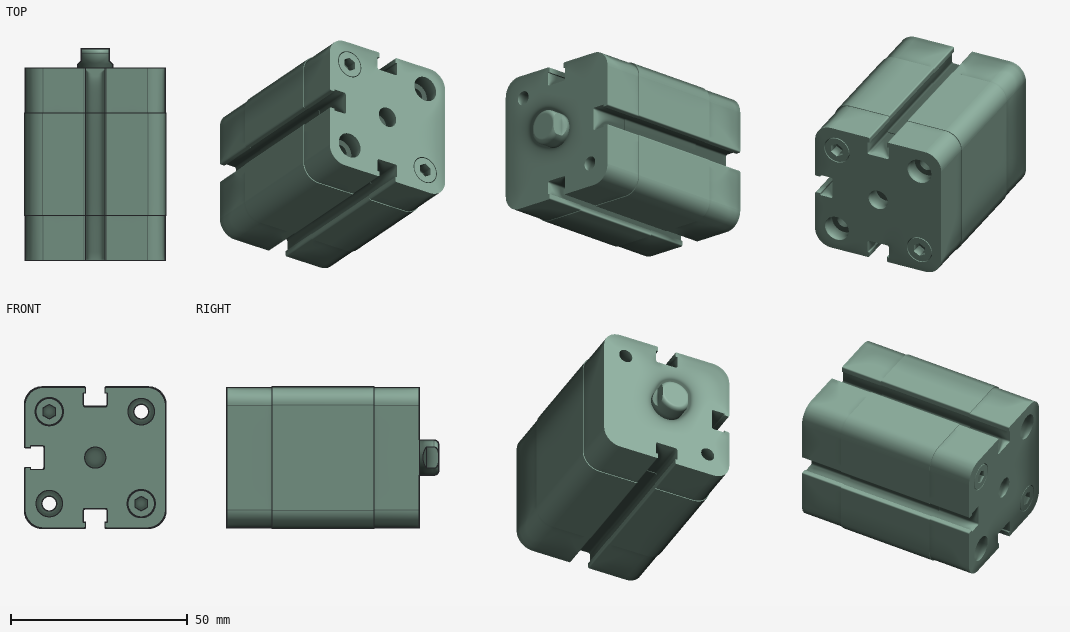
import cadquery as cq
import math


ARC_MIDPOINT_INSET = 1 - math.sqrt(0.5)

total_length = 60.0
rod_projection = 5.5
body_length = total_length - rod_projection
cap_length = 12.8
tube_length = body_length - 2 * cap_length
tube_side = 40.1
cap_inset = 0.2
cap_side = tube_side - 2 * cap_inset
corner_radius = 5.1

slot_neck_width = 5.5
slot_width = 6.7
slot_lip_depth = 1.6
slot_depth = 5.5
slot_lip_radius = 0.4
slot_floor_radius = 0.5

corner_offset = 13.0
mounting_hole_diameter = 4.13
mounting_bore_diameter = 7.5
mounting_bore_depth = 4.6
screw_recess_diameter = 8.0
screw_head_diameter = 7.5
screw_recess_depth = 4.0
hex_socket_corners = 4.13
hex_socket_depth = 3.5

centre_hole_diameter = 6.0
centre_hole_depth = 5.0

rod_diameter = 10.0
rod_end_radius = 1.35
rod_flat_spacing = 8.0
rod_flat_length = 3.5

front_face = -total_length / 2
tube_start = front_face + cap_length
rear_cap_start = tube_start + tube_length
rear_face = front_face + body_length
rod_tip = front_face + total_length


def plane_at(y):
    """XZ plane at the given Y whose normal points toward +Y; local x is -X, local y is Z."""
    return cq.Plane(origin=(0, y, 0), xDir=(-1, 0, 0), normal=(0, 1, 0))


def slot_cutter(half_side, start, length):
    """T-slot opening on the -X side, with rounded lips and floor corners."""
    neck = slot_neck_width / 2
    inner = slot_width / 2
    mouth = neck + slot_lip_radius
    lip_start = half_side - slot_lip_radius
    lip_end = half_side - slot_lip_depth
    floor = half_side - slot_depth
    bend = slot_lip_radius * ARC_MIDPOINT_INSET
    floor_bend = slot_floor_radius * ARC_MIDPOINT_INSET
    floor_wall = floor + slot_floor_radius
    floor_edge = inner - slot_floor_radius
    return (
        cq.Workplane(plane_at(start))
        .moveTo(half_side, -mouth)
        .threePointArc((half_side - bend, -neck - bend), (lip_start, -neck))
        .lineTo(lip_end, -neck)
        .lineTo(lip_end, -inner)
        .lineTo(floor_wall, -inner)
        .threePointArc((floor + floor_bend, -inner + floor_bend), (floor, -floor_edge))
        .lineTo(floor, floor_edge)
        .threePointArc((floor + floor_bend, inner - floor_bend), (floor_wall, inner))
        .lineTo(lip_end, inner)
        .lineTo(lip_end, neck)
        .lineTo(lip_start, neck)
        .threePointArc((half_side - bend, neck + bend), (half_side, mouth))
        .close()
        .extrude(length)
    )


def body_section(side, start, length):
    """Rounded square length of the body with its three T-slots."""
    section = (
        cq.Workplane(plane_at(start))
        .rect(side, side)
        .extrude(length)
        .edges("|Y")
        .fillet(corner_radius)
    )
    cutter = slot_cutter(side / 2, start, length)
    for turn in (-90, 0, 90):
        section = section.cut(cutter.rotate((0, 0, 0), (0, 1, 0), turn))
    return section


def cylinder(diameter, start, length, x=0, z=0):
    """Cylinder along +Y starting at the given Y."""
    return cq.Workplane(plane_at(start)).center(-x, z).circle(diameter / 2).extrude(length)


def cut_mounting_hole(body, x, z):
    """Through hole, counterbored from the front face."""
    body = body.cut(cylinder(mounting_hole_diameter, front_face, body_length, x, z))
    return body.cut(cylinder(mounting_bore_diameter, front_face, mounting_bore_depth, x, z))


def add_socket_screw(body, x, z):
    """Screw head flush with the front face, inside a slightly wider recess."""
    recess = cylinder(screw_recess_diameter, front_face, screw_recess_depth, x, z)
    head = cylinder(screw_head_diameter, front_face, screw_recess_depth, x, z)
    socket = (
        cq.Workplane(plane_at(front_face))
        .center(-x, z)
        .transformed(rotate=(0, 0, 90))
        .polygon(6, hex_socket_corners)
        .extrude(hex_socket_depth)
    )
    return body.cut(recess.cut(head)).cut(socket)


def rod_end():
    """Rounded rod tip with two wrench flats that run out at 45 degrees."""
    rod = (
        cylinder(rod_diameter, rear_face, rod_projection)
        .faces(">Y")
        .edges()
        .fillet(rod_end_radius)
    )
    rod_radius = rod_diameter / 2
    flat = rod_flat_spacing / 2
    flat_start = rod_tip - rod_flat_length
    flat_run_out = flat_start - (rod_radius - flat)
    flat_cutter = (
        cq.Workplane("XY")
        .moveTo(flat, rod_tip)
        .lineTo(flat, flat_start)
        .lineTo(rod_radius, flat_run_out)
        .lineTo(rod_radius, rod_tip)
        .close()
        .extrude(rod_radius, both=True)
    )
    return rod.cut(flat_cutter).cut(flat_cutter.mirror("YZ"))


body = body_section(cap_side, front_face, cap_length)
body = body.union(body_section(tube_side, tube_start, tube_length))
body = body.union(body_section(cap_side, rear_cap_start, cap_length))
body = body.union(rod_end())
body = body.cut(cylinder(centre_hole_diameter, front_face, centre_hole_depth))

for side in (-1, 1):
    body = cut_mounting_hole(body, side * corner_offset, side * corner_offset)
    body = add_socket_screw(body, side * corner_offset, -side * corner_offset)

result = body